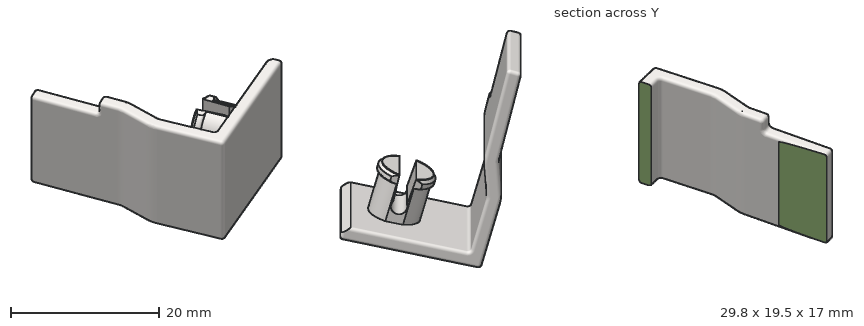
import cadquery as cq
import math

length = 29.8
height = 17.0
thickness = 2.0
edge_round = 0.5

first_bend_x = 13.23
second_bend_x = 18.3
wall_end_y = 19.5
tab_tilt = math.radians(2)
ramp_tilt = math.radians(20)
wall_lean = math.radians(3)
tip_round_center_x = length - edge_round
outer_corner_x = (
    tip_round_center_x + edge_round / math.cos(wall_lean) - (wall_end_y - edge_round) * math.tan(wall_lean)
)
inner_bend_radius = 2.98
outer_bend_radius = inner_bend_radius + thickness
wall_end_chamfer = 1.0

step_x = 9.95
step_depth = 2.03
step_margin = 0.3

stud_y = 12.48
stud_z = height / 2
stud_tip_x = 20.5
stud_radius = 3.6
head_radius = 4.02
head_length = 1.43
head_chamfer = 0.55
head_back_round = 0.3
stud_half_height = 3.4
slot_mouth_half_width = 1.15
slot_root_half_width = 0.92
slot_hole_radius = 1.1
slot_hole_x = 25.0


def bend_offset(tilt_before, tilt_after):
    """Distance along X from an outer bend to the matching inner bend."""
    return thickness * math.tan((tilt_before + tilt_after) / 2)


def wall_outer_x(y):
    return outer_corner_x + y * math.tan(wall_lean)


def make_plate():
    first_bend_y = (second_bend_x - first_bend_x) * math.tan(ramp_tilt)
    tab_end_y = first_bend_y + first_bend_x * math.tan(tab_tilt)
    wall_width = thickness / math.cos(wall_lean)
    tab_width = thickness / math.cos(tab_tilt)

    first_shift = bend_offset(tab_tilt, ramp_tilt)
    first_inner_x = first_bend_x + first_shift
    first_inner_y = first_bend_y - first_shift * math.tan(tab_tilt) + tab_width
    second_inner_x = second_bend_x + bend_offset(ramp_tilt, 0)
    first_bend = (first_bend_x, first_bend_y)
    first_inner = (first_inner_x, first_inner_y)
    second_bend = (second_bend_x, 0)
    second_inner = (second_inner_x, thickness)
    inner_corner = (wall_outer_x(thickness) - wall_width, thickness)

    outline = [
        (0, tab_end_y),
        first_bend,
        second_bend,
        (outer_corner_x, 0),
        (wall_outer_x(wall_end_y), wall_end_y),
        (wall_outer_x(wall_end_y) - wall_width, wall_end_y),
        inner_corner,
        second_inner,
        first_inner,
        (0, tab_end_y + tab_width),
    ]
    plate = cq.Workplane("XY").polyline(outline).close().extrude(height)

    def round_upright_edge(body, point, radius):
        middle = (point[0], point[1], height / 2)
        return body.edges(cq.selectors.NearestToPointSelector(middle)).fillet(radius)

    plate = round_upright_edge(plate, inner_corner, edge_round)
    plate = round_upright_edge(plate, (outer_corner_x, 0), edge_round)

    step = cq.Workplane("XY").box(step_x, wall_end_y, step_depth, centered=False)
    plate = plate.cut(step.translate((0, 0, height - step_depth)))
    step_corners = cq.selectors.BoxSelector(
        (step_x - step_margin, 0, height - step_depth - step_margin),
        (step_x + step_margin, wall_end_y, height + step_margin),
    )
    plate = plate.edges("|Y").edges(step_corners).fillet(edge_round)

    plate = plate.faces("<X").edges("|Z").fillet(edge_round)
    plate = plate.faces(">Y").edges("|Z").edges(">X").fillet(edge_round)
    plate = plate.faces("<Z").edges().fillet(edge_round)
    plate = plate.faces(">Z").edges().fillet(edge_round)

    plate = round_upright_edge(plate, first_bend, inner_bend_radius)
    plate = round_upright_edge(plate, first_inner, outer_bend_radius)
    plate = round_upright_edge(plate, second_bend, outer_bend_radius)
    plate = round_upright_edge(plate, second_inner, inner_bend_radius)
    return plate


def make_wall_end_cut():
    """Wedge that bevels the inner edge of the wall end over its full height."""
    inner_x = wall_outer_x(wall_end_y) - thickness / math.cos(wall_lean)
    corners = [
        (inner_x - wall_end_chamfer, wall_end_y - 2 * wall_end_chamfer),
        (inner_x + 2 * wall_end_chamfer, wall_end_y + wall_end_chamfer),
        (inner_x - wall_end_chamfer, wall_end_y + wall_end_chamfer),
    ]
    return cq.Workplane("XY").polyline(corners).close().extrude(height)


def make_stud():
    axis_plane = cq.Workplane("YZ", origin=(stud_tip_x, stud_y, stud_z))
    stud_length = wall_outer_x(stud_y) - thickness / 2 - stud_tip_x
    head = axis_plane.circle(head_radius).extrude(head_length)
    head = head.faces("<X").chamfer(head_chamfer)
    head = head.faces(">X").edges().fillet(head_back_round)
    stud = axis_plane.circle(stud_radius).extrude(stud_length).union(head)
    flats = axis_plane.rect(2 * head_radius, 2 * stud_half_height).extrude(stud_length)
    stud = stud.intersect(flats)

    slot_outline = [
        (stud_tip_x, stud_y - slot_mouth_half_width),
        (slot_hole_x, stud_y - slot_root_half_width),
        (slot_hole_x, stud_y + slot_root_half_width),
        (stud_tip_x, stud_y + slot_mouth_half_width),
    ]
    slot = cq.Workplane("XY").polyline(slot_outline).close().extrude(height)
    hole = cq.Workplane("XY").center(slot_hole_x, stud_y).circle(slot_hole_radius).extrude(height)
    return stud.cut(slot).cut(hole)


result = make_plate().cut(make_wall_end_cut()).union(make_stud())